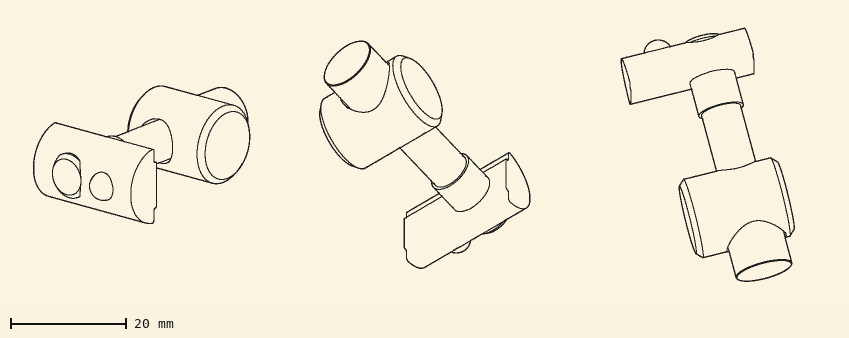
import cadquery as cq
import math

barrel_diameter = 14.0
barrel_left = -7.0
barrel_length = 17.5
barrel_chamfer = 1.0
knob_hole_diameter = 10.6
stem_hole_diameter = 8.0

overall_length = 44.9
knob_end = 12.2
knob_diameter = 10.0
knob_chamfer = 0.15
stem_diameter = 7.0
collar_diameter = 8.0
collar_start = -17.65
bolt_tip = -30.7
tip_chamfer = 0.75

bar_left = -7.5
bar_length = 22.0
dome_radius = 6.85
dome_center = -23.9
dome_flat_half = 1.05
neck_back = -23.75
shoulder = -24.43
neck_half = 4.18
neck_fillet = 0.3
shoulder_fillet = 0.6

ball_radius = 2.5
ball_x = 8.0
ball_y = knob_end - overall_length + ball_radius


def rod(diameter, start, end):
    """Cylinder on the bolt axis, running toward -Y from start to end."""
    return cq.Workplane("XZ", origin=(0, start, 0)).circle(diameter / 2).extrude(start - end)


def make_barrel():
    cylinder = cq.Workplane("YZ", origin=(barrel_left, 0, 0)).circle(barrel_diameter / 2)
    barrel = cylinder.extrude(barrel_length).faces("|X").chamfer(barrel_chamfer)
    knob_hole = rod(knob_hole_diameter, barrel_diameter / 2, 0)
    stem_hole = rod(stem_hole_diameter, 0, -barrel_diameter / 2)
    return barrel.cut(knob_hole).cut(stem_hole)


def make_bolt():
    knob = rod(knob_diameter, knob_end, 0).faces(">Y").chamfer(knob_chamfer)
    stem = rod(stem_diameter, 0, collar_start)
    collar = rod(collar_diameter, collar_start, bolt_tip).faces("<Y").chamfer(tip_chamfer)
    return knob.union(stem).union(collar)


def make_slot_bar():
    flat_y = dome_center - math.sqrt(dome_radius**2 - dome_flat_half**2)
    shoulder_half = math.sqrt(dome_radius**2 - (shoulder - dome_center) ** 2)
    arc_mid_y = dome_center - dome_radius * math.sqrt(0.5)
    arc_mid_z = dome_radius * math.sqrt(0.5)
    bar = (
        cq.Workplane("YZ", origin=(bar_left, 0, 0))
        .moveTo(neck_back, -neck_half)
        .lineTo(neck_back, neck_half)
        .lineTo(shoulder, neck_half)
        .lineTo(shoulder, shoulder_half)
        .threePointArc((arc_mid_y, arc_mid_z), (flat_y, dome_flat_half))
        .lineTo(flat_y, -dome_flat_half)
        .threePointArc((arc_mid_y, -arc_mid_z), (shoulder, -shoulder_half))
        .lineTo(shoulder, -neck_half)
        .close()
        .extrude(bar_length)
    )
    bar = bar.edges("|X and (>Z or <Z)").fillet(shoulder_fillet)
    tolerance = 0.05
    for side in (-1, 1):
        corner_edges = cq.selectors.BoxSelector(
            (bar_left - tolerance, shoulder - tolerance, side * neck_half - tolerance),
            (bar_left + bar_length + tolerance, neck_back + tolerance, side * neck_half + tolerance),
        )
        bar = bar.edges("|X").edges(corner_edges).fillet(neck_fillet)
    return bar


def make_ball():
    return cq.Workplane("XY", origin=(ball_x, ball_y, 0)).sphere(ball_radius)


result = make_barrel().union(make_bolt()).union(make_slot_bar()).union(make_ball())